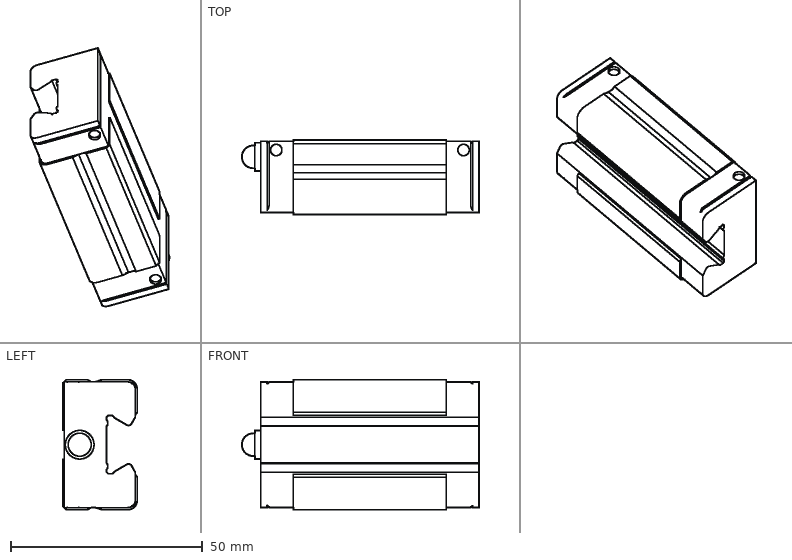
import cadquery as cq
import math


TOTAL_LENGTH = 61.9
CARRIAGE_LENGTH = 57.0
STEEL_LENGTH = 39.9
STEEL_DEPTH = 19.5
STEEL_HALF_HEIGHT = 34.0 / 2

FRONT_STEP = 0.525
BACK_STEP = 0.4
SIDE_STEP = 0.6
CORE_BACK = STEEL_DEPTH - BACK_STEP
CORE_HALF_HEIGHT = STEEL_HALF_HEIGHT - SIDE_STEP
CORE_CORNER_RADIUS = 2.0

STEEL_CORNER_RADIUS = 2.6
BACK_CHAMFER = 1.0
BACK_CHANNEL_HALF_WIDTH = 3.8
FOOT_INNER_EDGE = 8.5
FOOT_INNER_ROOT = 7.75

SIDE_GROOVE_DEPTH = 0.55
SIDE_GROOVE_START = 6.5
SIDE_GROOVE_FLOOR_START = 7.3
SIDE_GROOVE_FLOOR_END = 8.6
SIDE_GROOVE_END = 10.3
SIDE_GROOVE_RADIUS = 0.7

SLOT_WEB_Y = 8.05
SLOT_MOUTH_HALF = 7.2
LIP_Y = 2.0
LIP_RADIUS = 0.9
LIP_ANGLE = math.radians(30)
FLANK_END_Y = 5.95
FLANK_END_RADIUS = 0.3
RELIEF_TOP_Y = 6.45
RELIEF_HALF = 7.55
RELIEF_CHAMFER = 0.45
BEAD_CENTER = 5.65
BEAD_HALF_WIDTH = 0.85
BEAD_HEIGHT = 0.4

NOTCH_OUTER = 1.75
NOTCH_WIDTH = 0.5
NOTCH_DEPTH = 0.5
PORT_DIAMETER = 3.0
PORT_DEPTH = 1.0
PORT_FROM_END = 4.1
PORT_FROM_BACK = 2.3

NIPPLE_FROM_BACK = 4.1
FLANGE_DIAMETER = 7.5
FLANGE_THICKNESS = 1.5
BALL_RADIUS = 6.0 / 2
NIPPLE_LENGTH = TOTAL_LENGTH - CARRIAGE_LENGTH


def mirrored_prism(half_outline, length):
    """Extrude, along X and centred, a (Y, Z) outline closed by its mirror image about Z = 0."""
    mirrored = [(y, -z) for y, z in reversed(half_outline)]
    outline = cq.Workplane("YZ").polyline(half_outline + mirrored).close()
    return outline.extrude(length / 2, both=True)


def round_edges(body, y, z, radius):
    """Round the edge along X at (y, z) and its mirror image at (y, -z)."""
    for side in (1, -1):
        body = body.edges(cq.selectors.NearestToPointSelector((0, y, side * z))).fillet(radius)
    return body


def core():
    """Full-length body with rounded front corners."""
    body = mirrored_prism(
        [(FRONT_STEP, CORE_HALF_HEIGHT), (CORE_BACK, CORE_HALF_HEIGHT)],
        CARRIAGE_LENGTH,
    )
    return round_edges(body, FRONT_STEP, CORE_HALF_HEIGHT, CORE_CORNER_RADIUS)


def steel():
    """Thicker middle portion with bevelled feet, side grooves and a back channel."""
    groove_floor = STEEL_HALF_HEIGHT - SIDE_GROOVE_DEPTH
    body = mirrored_prism(
        [
            (FRONT_STEP, FOOT_INNER_ROOT),
            (0, FOOT_INNER_EDGE),
            (0, STEEL_HALF_HEIGHT),
            (STEEL_DEPTH - SIDE_GROOVE_END, STEEL_HALF_HEIGHT),
            (STEEL_DEPTH - SIDE_GROOVE_FLOOR_END, groove_floor),
            (STEEL_DEPTH - SIDE_GROOVE_FLOOR_START, groove_floor),
            (STEEL_DEPTH - SIDE_GROOVE_START, STEEL_HALF_HEIGHT),
            (STEEL_DEPTH - BACK_CHAMFER, STEEL_HALF_HEIGHT),
            (STEEL_DEPTH, STEEL_HALF_HEIGHT - BACK_CHAMFER),
            (STEEL_DEPTH, BACK_CHANNEL_HALF_WIDTH),
            (CORE_BACK, BACK_CHANNEL_HALF_WIDTH),
        ],
        STEEL_LENGTH,
    )
    body = round_edges(body, 0, STEEL_HALF_HEIGHT, STEEL_CORNER_RADIUS)
    return round_edges(body, STEEL_DEPTH - SIDE_GROOVE_FLOOR_START, groove_floor, SIDE_GROOVE_RADIUS)


def rail_slot():
    """Cutter for the rail slot: bevelled mouth, rounded lips, raceway flanks and relief pockets."""
    lip_z = SLOT_MOUTH_HALF - (LIP_Y - FRONT_STEP) / math.tan(LIP_ANGLE)
    flank_end_z = lip_z + (FLANK_END_Y - LIP_Y) * math.tan(LIP_ANGLE)
    slot = mirrored_prism(
        [
            (0, SLOT_MOUTH_HALF),
            (FRONT_STEP, SLOT_MOUTH_HALF),
            (LIP_Y, lip_z),
            (FLANK_END_Y, flank_end_z),
            (RELIEF_TOP_Y, RELIEF_HALF),
            (SLOT_WEB_Y - RELIEF_CHAMFER, RELIEF_HALF),
            (SLOT_WEB_Y, RELIEF_HALF - RELIEF_CHAMFER),
        ],
        CARRIAGE_LENGTH,
    )
    slot = round_edges(slot, LIP_Y, lip_z, LIP_RADIUS)
    slot = round_edges(slot, FLANK_END_Y, flank_end_z, FLANK_END_RADIUS)
    for side in (1, -1):
        slot = slot.cut(slot_bead(side))
    return slot


def slot_bead(side):
    """Rounded bead standing on the slot bottom, at +Z or -Z."""
    return (
        cq.Workplane("YZ")
        .moveTo(SLOT_WEB_Y, side * (BEAD_CENTER - BEAD_HALF_WIDTH))
        .threePointArc(
            (SLOT_WEB_Y - BEAD_HEIGHT, side * BEAD_CENTER),
            (SLOT_WEB_Y, side * (BEAD_CENTER + BEAD_HALF_WIDTH)),
        )
        .close()
        .extrude(CARRIAGE_LENGTH / 2, both=True)
    )


def end_notch(end):
    """V notch round the back and both sides of one end portion; its steep wall faces inward."""
    steep = CARRIAGE_LENGTH / 2 - NOTCH_OUTER
    side_profile = [
        (end * steep, CORE_HALF_HEIGHT),
        (end * steep, CORE_HALF_HEIGHT - NOTCH_DEPTH),
        (end * (steep - NOTCH_WIDTH), CORE_HALF_HEIGHT),
    ]
    back_profile = [
        (end * steep, CORE_BACK),
        (end * steep, CORE_BACK - NOTCH_DEPTH),
        (end * (steep - NOTCH_WIDTH), CORE_BACK),
    ]
    top = cq.Workplane("XZ").polyline(side_profile).close().extrude(-CORE_BACK)
    bottom = top.mirror("XY")
    back = cq.Workplane("XY").polyline(back_profile).close().extrude(CORE_HALF_HEIGHT, both=True)
    return top.union(bottom).union(back)


def grease_ports():
    """Blind round ports in both sides of both end portions."""
    port_x = CARRIAGE_LENGTH / 2 - PORT_FROM_END
    upper = (
        cq.Workplane("XY")
        .workplane(offset=CORE_HALF_HEIGHT - PORT_DEPTH)
        .pushPoints([(-port_x, CORE_BACK - PORT_FROM_BACK), (port_x, CORE_BACK - PORT_FROM_BACK)])
        .circle(PORT_DIAMETER / 2)
        .extrude(PORT_DEPTH)
    )
    return upper.union(upper.mirror("XY"))


def make_carriage():
    body = core().union(steel()).cut(rail_slot())
    for end in (-1, 1):
        body = body.cut(end_notch(end))
    return body.cut(grease_ports())


def make_nipple():
    """Flange, short neck and domed tip, turned about an axis along X."""
    root_x = -CARRIAGE_LENGTH / 2
    flange_x = root_x - FLANGE_THICKNESS
    tip_x = root_x - NIPPLE_LENGTH
    dome_x = tip_x + BALL_RADIUS
    axis_y = CORE_BACK - NIPPLE_FROM_BACK
    diagonal = BALL_RADIUS * math.sqrt(0.5)
    return (
        cq.Workplane("XY", origin=(0, axis_y, 0))
        .moveTo(root_x, 0)
        .lineTo(root_x, FLANGE_DIAMETER / 2)
        .lineTo(flange_x, FLANGE_DIAMETER / 2)
        .lineTo(flange_x, BALL_RADIUS)
        .lineTo(dome_x, BALL_RADIUS)
        .threePointArc((dome_x - diagonal, diagonal), (tip_x, 0))
        .close()
        .revolve(360, (0, 0, 0), (1, 0, 0))
    )


carriage = make_carriage()
nipple = make_nipple()

result = cq.Compound.makeCompound([carriage.val(), nipple.val()])